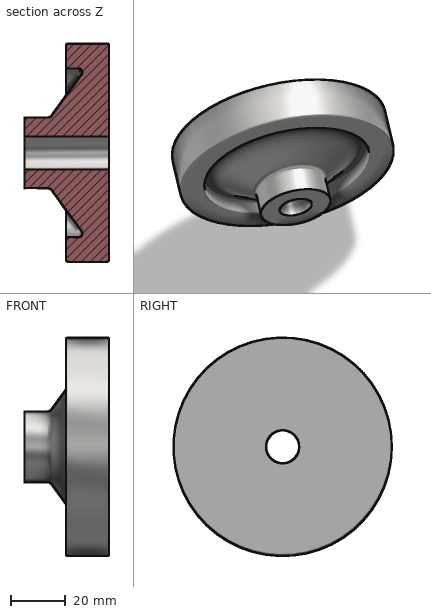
import cadquery as cq
import math

overall_length = 31.0
rim_diameter = 80.0
rim_width = 15.8
recess_diameter = 61.6
hub_diameter = 26.0
bore_diameter = 12.0
hub_length = 9.4
cone_half_angle = 54.0

rim_edge_radius = 0.8
recess_lip_radius = 0.8
recess_root_radius = 1.3
hub_root_radius = 1.5

back_x = rim_width / 2
rim_front_x = back_x - rim_width
hub_front_x = back_x - overall_length
rim_radius = rim_diameter / 2
recess_radius = recess_diameter / 2
hub_radius = hub_diameter / 2
bore_radius = bore_diameter / 2

cone_start_x = hub_front_x + hub_length
cone_depth = (recess_radius - hub_radius) / math.tan(math.radians(cone_half_angle))
cone_end_x = cone_start_x + cone_depth


def make_wheel_body():
    """Revolve the sharp-cornered half section about the X axis."""
    half_section = [
        (hub_front_x, bore_radius),
        (hub_front_x, hub_radius),
        (cone_start_x, hub_radius),
        (cone_end_x, recess_radius),
        (rim_front_x, recess_radius),
        (rim_front_x, rim_radius),
        (back_x, rim_radius),
        (back_x, bore_radius),
    ]
    return cq.Workplane("XY").polyline(half_section).close().revolve(360, (0, 0, 0), (1, 0, 0))


def round_circle(body, x, circle_radius, fillet_radius):
    """Fillet the circular edge of the given radius centred on the axis at x."""
    tolerance = 0.01

    def is_wanted(edge):
        return (
            edge.geomType() == "CIRCLE"
            and abs(edge.arcCenter().x - x) < tolerance
            and abs(edge.radius() - circle_radius) < tolerance
        )

    wanted = [edge for edge in body.edges().vals() if is_wanted(edge)]
    return body.newObject(wanted).fillet(fillet_radius)


result = make_wheel_body()
for rim_face_x in (rim_front_x, back_x):
    result = round_circle(result, rim_face_x, rim_radius, rim_edge_radius)
result = round_circle(result, rim_front_x, recess_radius, recess_lip_radius)
result = round_circle(result, cone_end_x, recess_radius, recess_root_radius)
result = round_circle(result, cone_start_x, hub_radius, hub_root_radius)